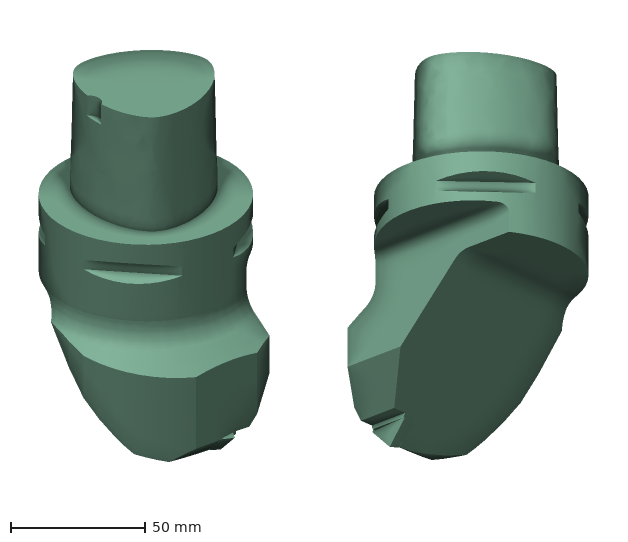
import cadquery as cq
import math


shank_height = 47.7
shank_width = 55.2
lobe_height = 2.0
shank_taper = 1 / 20
lobe_points = 72

slot_radius = 5.2
slot_depth = 8.5
slot_center_y = -27.0

flange_diameter = 80.0
flange_height = 32.5
flange_radius = flange_diameter / 2
groove_z = -12.4
groove_floor_height = 4.0
groove_mouth_height = 8.6
groove_floor_radius = 35.5
groove_angles = (45, 135, 225, 315)

neck_radius = 45.7
neck_z = -41.9
flare_radius = 60.0
flare_slope = 0.7

arm_right = 53.5
arm_back = 21.7
arm_front_overhang = 5.2
arm_front = -(flange_radius + arm_front_overhang)
arm_left = -27.3
arm_left_front = -40.6
bend_x = 12.3
arc_start_y = -17.0
arc_middle = (39.5, -36.1)
arc_end_x = 21.1
corner_x = 47.7
corner_y = 11.6
tip_z = -88.6
face_sum = -41.6
nose_difference = 132.9
face_blend_radius = 10.0

relief_edge = (41.5, -19.5)
relief_corner_z = -20.7
relief_radius = 4.0
chamfer_start_z = -62.6
ledge_back = (7.9, -78.2)
ledge_front = (1.8, -78.1)
seat_back = (1.5, -79.6)
seat_front = (-3.0, -79.6)
heel_start = (-5.0, -87.2)
heel_middle = (-20.9, -85.3)
heel_end = (-36.5, -81.2)

insert_sum = -42.5
insert_difference = 134.7
insert_side = 12.5
insert_thickness = 4.9
insert_relief = 7.0
insert_tilt = 6.5

reach = 136.3


def lobed_outline(width, z):
    """Closed constant-width curve with three lobes, one of them pointing to +Y."""
    points = []
    for i in range(lobe_points):
        angle = 2 * math.pi * i / lobe_points
        phase = 3 * (angle - math.pi / 2)
        support = width / 2 + lobe_height * math.cos(phase)
        slope = -3 * lobe_height * math.sin(phase)
        x = support * math.cos(angle) - slope * math.sin(angle)
        y = support * math.sin(angle) + slope * math.cos(angle)
        points.append(cq.Vector(x, y, z))
    return cq.Wire.assembleEdges([cq.Edge.makeSpline(points, periodic=True)])


def make_shank():
    top_width = shank_width - shank_taper * shank_height
    bottom = lobed_outline(shank_width, 0)
    top = lobed_outline(top_width, shank_height)
    shank = cq.Workplane(obj=cq.Solid.makeLoft([bottom, top], True))
    slot = (
        cq.Workplane("XY", origin=(0, slot_center_y, shank_height - slot_depth))
        .circle(slot_radius)
        .extrude(slot_depth)
    )
    return shank.cut(slot)


def gripper_groove(angle):
    """Groove with a flat floor along a chord and sides that open outwards."""
    overrun = 1.4
    outer = flange_radius + overrun
    half_floor = groove_floor_height / 2
    half_mouth = groove_mouth_height / 2
    flank = (half_mouth - half_floor) / (flange_radius - groove_floor_radius)
    half_outside = half_mouth + flank * overrun
    return (
        cq.Workplane("XZ")
        .polyline([
            (groove_floor_radius, groove_z - half_floor),
            (outer, groove_z - half_outside),
            (outer, groove_z + half_outside),
            (groove_floor_radius, groove_z + half_floor),
        ])
        .close()
        .extrude(flange_radius, both=True)
        .rotate((0, 0, 0), (0, 0, 1), angle)
    )


def make_flange():
    flange = cq.Workplane("XY").circle(flange_radius).extrude(-flange_height)
    for angle in groove_angles:
        flange = flange.cut(gripper_groove(angle))
    return flange


def make_arm():
    """Arm plan, extended downwards and topped by the flared neck."""
    plan = (
        cq.Workplane("XY")
        .moveTo(arm_left, arm_back)
        .lineTo(corner_x, arm_back)
        .lineTo(arm_right, corner_y)
        .lineTo(arm_right, arc_start_y)
        .threePointArc(arc_middle, (arc_end_x, arm_front))
        .lineTo(bend_x, arm_front)
        .lineTo(arm_left, arm_left_front)
        .close()
        .extrude(-reach)
    )
    flare_z = neck_z - flare_slope * (flare_radius - neck_radius)
    rise = neck_radius - flange_radius
    drop = -flange_height - neck_z
    bend_radius = (rise ** 2 + drop ** 2) / (2 * rise)
    half_turn = math.asin(drop / bend_radius) / 2
    neck_middle = (
        flange_radius + bend_radius * (1 - math.cos(half_turn)),
        -flange_height - bend_radius * math.sin(half_turn),
    )
    neck = (
        cq.Workplane("XZ")
        .moveTo(0, tip_z)
        .lineTo(0, -flange_height)
        .lineTo(flange_radius, -flange_height)
        .threePointArc(neck_middle, (neck_radius, neck_z))
        .lineTo(flare_radius, flare_z)
        .lineTo(flare_radius, tip_z)
        .close()
        .revolve(360, (0, 0, 0), (0, 1, 0))
    )
    return plan.intersect(neck)


def side_envelope():
    """Everything above the flange bottom, the slanted face and the nose face."""
    root_x = face_sum + flange_height
    tangent = face_blend_radius * math.tan(math.radians(45 / 2))
    diagonal = tangent * math.sqrt(0.5)
    nose_x = (face_sum + nose_difference) / 2
    return (
        cq.Workplane("XZ")
        .moveTo(-reach, -flange_height)
        .lineTo(root_x - tangent, -flange_height)
        .tangentArcPoint((root_x + diagonal, -flange_height - diagonal), relative=False)
        .lineTo(nose_x, face_sum - nose_x)
        .lineTo(reach, reach - nose_difference)
        .lineTo(reach, reach)
        .lineTo(-reach, reach)
        .close()
        .extrude(reach, both=True)
    )


def clearance_envelope():
    """Contour across the arm: back relief, chamfer, insert ledge and curved heel."""
    return (
        cq.Workplane("YZ")
        .moveTo(reach, reach)
        .lineTo(reach, relief_edge[1])
        .lineTo(*relief_edge)
        .lineTo(arm_back, relief_corner_z)
        .lineTo(arm_back, chamfer_start_z)
        .lineTo(*ledge_back)
        .lineTo(*ledge_front)
        .lineTo(*seat_back)
        .lineTo(*seat_front)
        .lineTo(*heel_start)
        .threePointArc(heel_middle, heel_end)
        .lineTo(-reach, heel_end[1])
        .lineTo(-reach, reach)
        .close()
        .extrude(reach, both=True)
        .edges(cq.selectors.BoxSelector(
            (-1.4, arm_back - 1.4, relief_corner_z - 1.4),
            (1.4, arm_back + 1.4, relief_corner_z + 1.4)))
        .fillet(relief_radius)
    )


def make_insert():
    """Square plate with relieved sides, standing on its corner and tilted about its nose edge."""
    tip_x = (insert_sum + insert_difference) / 2
    tip = (tip_x, 0, insert_sum - tip_x)
    plane = cq.Plane(origin=tip, xDir=(1, 0, 1), normal=(0, -1, 0))
    inset = insert_thickness * math.tan(math.radians(insert_relief))
    half = insert_side / 2
    back_side = insert_side - 2 * inset
    return (
        cq.Workplane(plane)
        .center(half, half)
        .rect(insert_side, insert_side)
        .workplane(offset=insert_thickness)
        .rect(back_side, back_side)
        .loft(ruled=True)
        .rotate(tip, (tip[0] + 1.4, 0, tip[2] + 1.4), -insert_tilt)
    )


insert = make_insert()
holder = (
    make_flange()
    .union(make_arm())
    .intersect(side_envelope())
    .intersect(clearance_envelope())
    .union(make_shank())
    .cut(insert)
)

result = cq.Compound.makeCompound([holder.solids().val(), insert.val()])